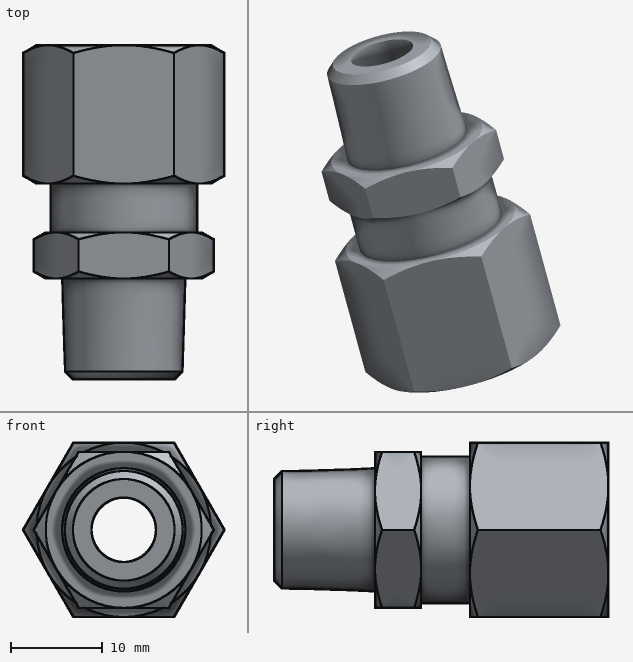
import cadquery as cq
import math

total_length = 36.4
nut_length = 15.07
nut_flats = 19.0
neck_length = 5.3
neck_diameter = 16.0
body_hex_length = 5.02
body_hex_flats = 17.0
bore_diameter = 7.0
hex_chamfer_angle = 30.0

thread_taper = 1 / 16
gauge_diameter = 13.15
gauge_length = 6.05
tip_diameter = 11.05
tip_chamfer_length = 0.87

thread_length = total_length - nut_length - neck_length - body_hex_length
neck_start = thread_length + body_hex_length
nut_start = neck_start + neck_length


def revolve_about_y(points):
    """Revolve a closed (radius, y) outline about the Y axis."""
    return cq.Workplane("XY").polyline(points).close().revolve(360, (0, 0), (0, 1))


def cylinder(start, length, diameter):
    return cq.Workplane("XZ", origin=(0, start, 0)).circle(diameter / 2).extrude(-length)


def chamfered_hex(start, length, flats):
    """Hexagon with corners on X and both ends turned to a cone."""
    flat_radius = flats / 2
    corner_diameter = flats / math.cos(math.radians(30))
    corner_radius = corner_diameter / 2
    chamfer_length = (corner_radius - flat_radius) * math.tan(math.radians(hex_chamfer_angle))
    end = start + length
    prism = cq.Workplane("XZ", origin=(0, start, 0)).polygon(6, corner_diameter).extrude(-length)
    turned_blank = revolve_about_y([
        (0, start),
        (flat_radius, start),
        (corner_radius, start + chamfer_length),
        (corner_radius, end - chamfer_length),
        (flat_radius, end),
        (0, end),
    ])
    return prism.intersect(turned_blank)


def thread_radius(y):
    return (gauge_diameter + (y - gauge_length) * thread_taper) / 2


def taper_thread():
    """Plain cone in place of the thread, with a chamfered tip."""
    return revolve_about_y([
        (0, 0),
        (tip_diameter / 2, 0),
        (thread_radius(tip_chamfer_length), tip_chamfer_length),
        (thread_radius(thread_length), thread_length),
        (0, thread_length),
    ])


body = taper_thread()
body = body.union(chamfered_hex(thread_length, body_hex_length, body_hex_flats))
body = body.union(cylinder(neck_start, neck_length, neck_diameter))
body = body.union(chamfered_hex(nut_start, nut_length, nut_flats))

result = body.cut(cylinder(0, total_length, bore_diameter))